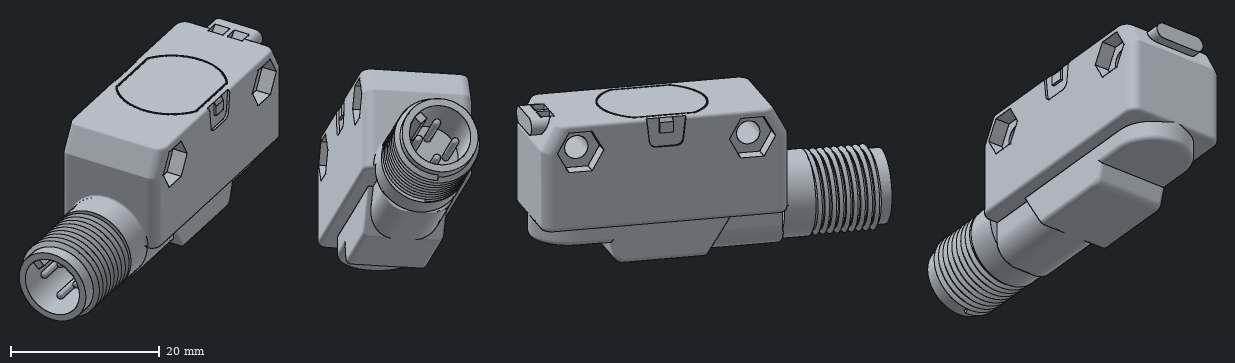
import cadquery as cq
import math


EPS = 0.25

block_width = 15.0
block_length = 34.45
block_top = 14.8
block_bottom = -0.2
chamfer_length = 2.05
chamfer_angle = 61.0
bend_radius = 0.3
corner_radius = 1.5
top_edge_radius = 0.5
bottom_edge_radius = 0.55

lower_width = 11.05
lower_bottom = -6.1
rear_bottom = -3.1
step_top_y = 24.5
step_bottom_y = 23.65
step_radius = 1.25
ramp_bottom_y = 11.1
ramp_top_y = 7.35
lower_edge_radius = 0.7
ramp_edge_radius = 0.25

neck_width = 9.7
neck_radius = 3.4
neck_length = ramp_bottom_y + 0.5
neck_end_radius = 0.2

tab_width = 7.75
tab_height = 2.4
tab_end_y = 35.15
tab_start_y = 31.05
indicator_inner_x = 0.35
indicator_outer_x = 2.65
indicator_front_y = 31.6
indicator_rear_y = 33.5
indicator_depth = 1.9

hole_diameter = 3.25
hole_spacing = 24.05
hole_z = 10.95
nut_flats = 5.6
nut_depth = 2.2

notch_top_width = 5.5
notch_bottom_width = 4.55
notch_height = 4.05
notch_depth = 0.35
notch_radius = 1.0
stud_width = 1.9
stud_height = 2.1
stud_chamfer = 0.6

lens_radius = 7.55
lens_half_width = 6.25
groove_width = 0.15
groove_depth = 0.15

collar_radius = 5.95
collar_length = 4.1
flare = 0.3
tip_y = -15.0
core_radius = 5.2
thread_crest_radius = 5.9
thread_pitch = 1.0
thread_turns = 9
thread_start_y = -4.25
thread_base_radius = core_radius - 0.05
thread_base_half_width = 0.45
bore_radius = 4.2
bore_depth = 9.0
key_width = 1.15
key_inner_radius = 2.95
key_setback = 0.65

pin_count = 4
pin_radius = 0.5
pin_circle_radius = 2.5
pin_tip_y = -13.2
pin_tip_radius = 0.35

mid_y = block_length / 2
bore_floor_y = tip_y + bore_depth


def make_block():
    """Block with sloped top ends, rounded corners and rounded top and bottom edges."""
    slope_z = block_top - chamfer_length * math.tan(math.radians(chamfer_angle))
    profile = [
        (0, block_bottom),
        (block_length, block_bottom),
        (block_length, slope_z),
        (block_length - chamfer_length, block_top),
        (chamfer_length, block_top),
        (0, slope_z),
    ]
    block = cq.Workplane("YZ").polyline(profile).close().extrude(block_width / 2, both=True)
    for end_y in (0, block_length):
        bend = cq.selectors.NearestToPointSelector((0, end_y, slope_z))
        block = block.edges(bend).fillet(bend_radius)
    block = block.faces("<X or >X").edges("not |Y").fillet(corner_radius)
    block = block.faces(">Z").edges().fillet(top_edge_radius)
    return block.faces("<Z").edges().fillet(bottom_edge_radius)


def make_lower_body():
    """Stepped body below the block, with a round rear end and a ramp at the front."""
    top = block_bottom + bottom_edge_radius + EPS
    ramp_slope = (ramp_bottom_y - ramp_top_y) / (block_bottom - lower_bottom)
    profile = [
        (block_length, top),
        (block_length, rear_bottom),
        (step_top_y, rear_bottom),
        (step_bottom_y, lower_bottom),
        (ramp_bottom_y, lower_bottom),
        (ramp_top_y - ramp_slope * (top - block_bottom), top),
    ]
    body = cq.Workplane("YZ").polyline(profile).close().extrude(lower_width / 2, both=True)
    step_corner = cq.selectors.NearestToPointSelector((0, step_bottom_y, lower_bottom))
    body = body.edges(step_corner).fillet(step_radius)
    half_width = lower_width / 2
    straight_end = block_length - half_width
    footprint = (
        cq.Workplane("XY", origin=(0, 0, lower_bottom))
        .moveTo(-half_width, 0)
        .lineTo(half_width, 0)
        .lineTo(half_width, straight_end)
        .threePointArc((0, block_length), (-half_width, straight_end))
        .close()
        .extrude(top - lower_bottom)
    )
    body = body.intersect(footprint)
    ramp_middle_y = (ramp_bottom_y + ramp_top_y) / 2
    behind_ramp = cq.selectors.BoxSelector(
        (-block_width, ramp_bottom_y, lower_bottom - EPS), (block_width, block_length, top - EPS)
    )
    body = body.faces("<X or >X").edges("not |Z").edges(behind_ramp).fillet(lower_edge_radius)
    ramp = cq.selectors.NearestToPointSelector((0, ramp_middle_y, (top + lower_bottom) / 2))
    return body.faces(ramp).edges("not >Z").fillet(ramp_edge_radius)


def make_neck():
    """Flat-sided neck with a rounded underside, running from the ramp to the connector."""
    top = block_bottom + bottom_edge_radius
    height = top - lower_bottom
    neck = cq.Workplane("XY", origin=(0, 0, lower_bottom)).box(
        neck_width, neck_length, height, centered=(True, False, False)
    )
    neck = neck.edges("|Y and <Z").fillet(neck_radius)
    return neck.faces("<Y").edges("not >Z").fillet(neck_end_radius)


def make_tab():
    """Indicator tab with round sides, level with the top of the block."""
    return (
        cq.Workplane("XZ", origin=(0, tab_start_y, block_top - tab_height / 2))
        .slot2D(tab_width, tab_height)
        .extrude(tab_start_y - tab_end_y)
    )


def make_indicator_pockets():
    """Two wedge pockets in the tab, deepest at their front walls."""
    width = indicator_outer_x - indicator_inner_x
    pockets = cq.Workplane("YZ")
    for start_x in (-indicator_outer_x, indicator_inner_x):
        wedge = (
            cq.Workplane("YZ", origin=(start_x, 0, 0))
            .moveTo(indicator_front_y, block_top)
            .lineTo(indicator_rear_y, block_top)
            .lineTo(indicator_front_y, block_top - indicator_depth)
            .close()
            .extrude(width)
        )
        pockets = pockets.add(wedge)
    return pockets


def make_mounting_holes():
    """Two cross holes with a hexagonal nut pocket at each side."""
    centers = [(mid_y - hole_spacing / 2, hole_z), (mid_y + hole_spacing / 2, hole_z)]
    nut_corners = nut_flats / math.cos(math.pi / 6)
    pocket_floor = block_width / 2 - nut_depth
    cut = cq.Workplane("YZ").pushPoints(centers).circle(hole_diameter / 2).extrude(block_width, both=True)
    for side in (-1, 1):
        nuts = (
            cq.Workplane("YZ", origin=(side * pocket_floor, 0, 0))
            .pushPoints(centers)
            .polygon(6, nut_corners)
            .extrude(side * (nut_depth + EPS))
        )
        cut = cut.union(nuts)
    return cut


def make_side_notch(side):
    """Tapered notch in one top edge, open upwards, without the stud left in its middle."""
    floor_x = side * (block_width / 2 - notch_depth)
    notch = (
        cq.Workplane("YZ", origin=(floor_x, mid_y, block_top))
        .moveTo(-notch_top_width / 2, 0)
        .lineTo(-notch_bottom_width / 2, -notch_height)
        .lineTo(notch_bottom_width / 2, -notch_height)
        .lineTo(notch_top_width / 2, 0)
        .close()
        .extrude(side * (notch_depth + EPS))
    )
    notch = notch.edges("|X and <Z").fillet(notch_radius)
    stud = (
        cq.Workplane("XZ", origin=(floor_x, mid_y + stud_width / 2, block_top))
        .lineTo(side * notch_depth, -stud_chamfer)
        .lineTo(side * 2 * notch_depth, -stud_chamfer)
        .lineTo(side * 2 * notch_depth, -stud_height)
        .lineTo(0, -stud_height)
        .close()
        .extrude(stud_width)
    )
    return notch.cut(stud)


def lens_outline(inset):
    """Disc with two flat sides, standing on the groove floor."""
    disc = cq.Workplane("XY", origin=(0, mid_y, block_top - groove_depth)).circle(lens_radius - inset)
    band = cq.Workplane("XY", origin=(0, mid_y, block_top)).box(
        2 * (lens_half_width - inset), 2 * lens_radius, 4 * groove_depth
    )
    return disc.extrude(groove_depth + EPS).intersect(band)


def make_lens_groove():
    return lens_outline(0).cut(lens_outline(groove_width))


def make_thread():
    """Right-hand helical ridge of triangular section around the connector core."""
    start = cq.Plane(origin=(0, thread_start_y, 0), xDir=(0, 0, -1), normal=(0, -1, 0))
    helix = cq.Wire.makeHelix(thread_pitch, thread_turns * thread_pitch, thread_base_radius)
    section = (
        cq.Workplane(cq.Plane(origin=(0, thread_start_y, 0), xDir=(0, 0, -1), normal=(-1, 0, 0)))
        .moveTo(thread_base_radius, -thread_base_half_width)
        .lineTo(thread_crest_radius, 0)
        .lineTo(thread_base_radius, thread_base_half_width)
        .close()
    )
    return section.sweep(cq.Workplane(obj=helix.moved(start.location)), isFrenet=True)


def make_connector():
    """Collar, core and thread of the plug, without the bore."""
    collar = cq.Workplane("XZ", origin=(0, EPS, 0)).circle(collar_radius).extrude(collar_length + EPS)
    core = cq.Workplane("XZ").circle(core_radius).extrude(-tip_y)
    return collar.union(core).union(make_thread())


def make_collar_flare():
    """Concave round between the collar and the wall of the block."""
    ring = (
        cq.Workplane("XY")
        .moveTo(collar_radius - EPS, EPS)
        .lineTo(collar_radius + flare, EPS)
        .lineTo(collar_radius + flare, 0)
        .radiusArc((collar_radius, -flare), -flare)
        .lineTo(collar_radius - EPS, -flare)
        .close()
        .revolve(360, (0, 0, 0), (0, 1, 0))
    )
    wall = cq.Workplane("XY", origin=(0, 0, block_bottom + bottom_edge_radius)).box(
        block_width, block_width, block_top, centered=(True, True, False)
    )
    return ring.intersect(wall)


def make_bore():
    """Blind bore of the plug, with a coding key left standing along its wall."""
    bore = cq.Workplane("XZ", origin=(0, tip_y, 0)).circle(bore_radius).extrude(-bore_depth)
    key_height = bore_radius - key_inner_radius + EPS
    key_length = bore_depth - key_setback
    key = (
        cq.Workplane("XY")
        .box(key_width, key_length, key_height, centered=(True, False, False))
        .translate((0, tip_y + key_setback, key_inner_radius))
        .rotate((0, 0, 0), (0, 1, 0), -45)
    )
    return bore.cut(key)


def make_housing():
    housing = make_block().union(make_lower_body()).union(make_neck())
    housing = housing.union(make_connector()).union(make_collar_flare()).union(make_tab())
    housing = housing.cut(make_mounting_holes()).cut(make_lens_groove()).cut(make_bore())
    for pocket in make_indicator_pockets().vals():
        housing = housing.cut(pocket)
    for side in (-1, 1):
        housing = housing.cut(make_side_notch(side))
    return housing


def make_pin(x, z):
    """Contact pin standing on the floor of the bore, with a rounded tip."""
    length = bore_floor_y - pin_tip_y
    pin = cq.Workplane("XZ", origin=(x, bore_floor_y, z)).circle(pin_radius).extrude(length)
    return pin.faces("<Y").edges().fillet(pin_tip_radius)


housing = make_housing()
pins = []
for index in range(pin_count):
    angle = index * 2 * math.pi / pin_count
    pins.append(make_pin(pin_circle_radius * math.cos(angle), pin_circle_radius * math.sin(angle)))

result = cq.Compound.makeCompound([housing.val(), *[pin.val() for pin in pins]])